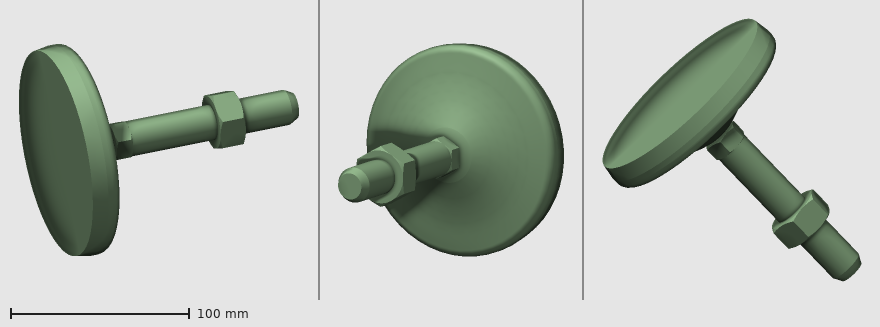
import cadquery as cq
import math

foot_radius = 60.0
face_radius = 58.5
taper_height = 8.8
rim_height = 12.1
shoulder_radius = 55.9
shoulder_height = 16.8
crown_edge_radius = 15.7
crown_edge_height = 29.4
crown_height = 32.0

total_length = 142.5
stud_radius = 10.0
neck_radius = 5.0
tip_radius = 7.4
tip_length = 5.0
collar_start = 32.8
collar_length = 9.7
collar_flats = 2 * stud_radius
nut_start = 92.8
nut_length = 15.1
nut_flats = 29.9
hex_chamfer_angle = 30.0


def make_foot():
    """Revolved foot: tapered side, rounded shoulder, concave flare, domed crown."""
    return (
        cq.Workplane("XY")
        .lineTo(face_radius, 0)
        .lineTo(foot_radius, taper_height)
        .lineTo(foot_radius, rim_height)
        .tangentArcPoint((shoulder_radius, shoulder_height), relative=False)
        .tangentArcPoint((crown_edge_radius, crown_edge_height), relative=False)
        .tangentArcPoint((neck_radius, crown_height), relative=False)
        .lineTo(0, crown_height)
        .close()
        .revolve(360, (0, 0, 0), (0, 1, 0))
    )


def make_stud():
    """Revolved stud: thin neck under the collar, full shank, tapered tip."""
    return (
        cq.Workplane("XY")
        .moveTo(0, crown_height / 2)
        .lineTo(neck_radius, crown_height / 2)
        .lineTo(neck_radius, collar_start)
        .lineTo(stud_radius, collar_start)
        .lineTo(stud_radius, total_length - tip_length)
        .lineTo(tip_radius, total_length)
        .lineTo(0, total_length)
        .close()
        .revolve(360, (0, 0, 0), (0, 1, 0))
    )


def make_hexagon(start, length, flats):
    """Hexagon with flats facing +/-X and its corners chamfered at both ends."""
    flat_radius = flats / 2
    corner_radius = flat_radius / math.cos(math.radians(30))
    chamfer = (corner_radius - flat_radius) * math.tan(math.radians(hex_chamfer_angle))
    end = start + length
    prism = (
        cq.Workplane("XZ", origin=(0, start, 0))
        .transformed(rotate=(0, 0, 30))
        .polygon(6, 2 * corner_radius)
        .extrude(-length)
    )
    envelope = (
        cq.Workplane("XY")
        .moveTo(0, start)
        .lineTo(flat_radius, start)
        .lineTo(corner_radius, start + chamfer)
        .lineTo(corner_radius, end - chamfer)
        .lineTo(flat_radius, end)
        .lineTo(0, end)
        .close()
        .revolve(360, (0, 0, 0), (0, 1, 0))
    )
    return prism.intersect(envelope)


collar = make_hexagon(collar_start, collar_length, collar_flats)
nut = make_hexagon(nut_start, nut_length, nut_flats)
result = make_foot().union(make_stud()).union(collar).union(nut)